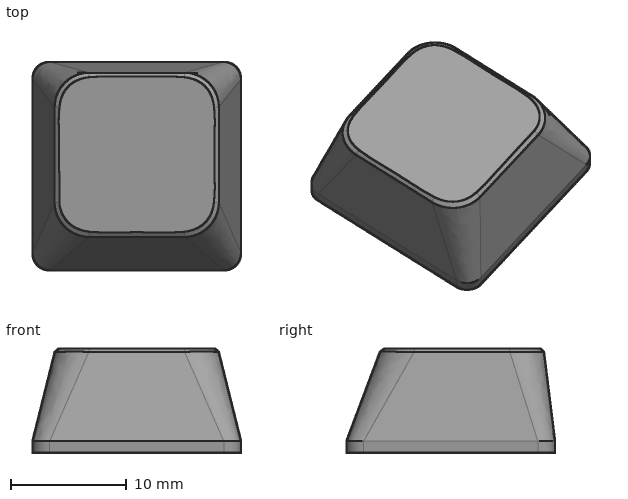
import cadquery as cq

base_side = 18.0
base_corner_radius = 1.5
skirt_height = 1.0

total_height = 9.0
top_side = 14.0
top_corner_radius = 3.0
top_shift_y = 1.0
top_chamfer = 0.32


def rounded_square(side, corner_radius):
    return cq.Sketch().rect(side, side).vertices().fillet(corner_radius)


def make_skirt():
    outline = rounded_square(base_side, base_corner_radius)
    return cq.Workplane("XY").placeSketch(outline).extrude(skirt_height)


def make_crown():
    bottom_outline = rounded_square(base_side, base_corner_radius)
    top_outline = rounded_square(top_side, top_corner_radius)
    crown_height = total_height - skirt_height
    crown = (
        cq.Workplane("XY", origin=(0, 0, skirt_height))
        .placeSketch(bottom_outline, top_outline.moved(cq.Location(cq.Vector(0, top_shift_y, crown_height))))
        .loft()
    )
    return crown.faces(">Z").edges().chamfer(top_chamfer)


result = make_skirt().union(make_crown())